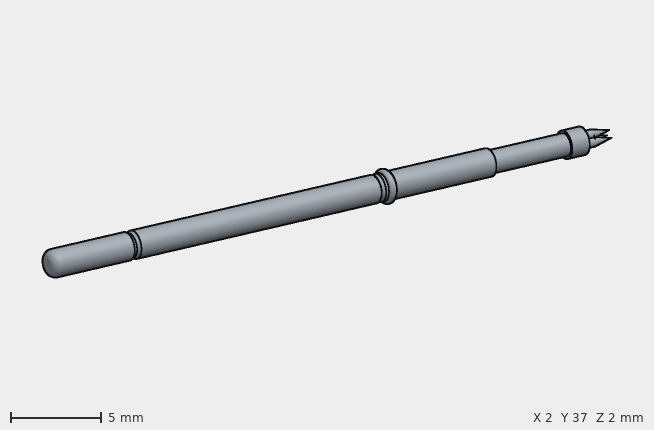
import cadquery as cq
import math

total_length = 37.0

barrel_radius = 0.8
barrel_front = 29.05
tail_flat_radius = 0.4
tail_round_length = 0.5
tail_bulge = 0.13

groove_depth = 0.1
rear_groove_center = 5.48
rear_groove_half_width = 0.22
stop_groove_rear = 21.5
stop_groove_bottom = 21.57
stop_groove_front = 21.8

bead_radius = 1.0
bead_rear = 21.98
bead_length = 0.5

plunger_radius = 0.65
head_radius = 0.8
head_rear = 34.05
head_front = 35.2

pin_count = 3
pin_radius = 0.278
pin_circle_radius = 0.25
pin_first_angle = 90.0
cone_length = 1.2
pin_embed = 0.37


def make_body():
    """Revolve the barrel, plunger and head from one half profile."""
    groove_radius = barrel_radius - groove_depth
    bead_front = bead_rear + bead_length

    tail_rise = barrel_radius - tail_flat_radius
    tail_chord = math.hypot(tail_rise, tail_round_length)
    tail_mid = (
        (tail_flat_radius + barrel_radius) / 2 + tail_bulge * tail_round_length / tail_chord,
        tail_round_length / 2 - tail_bulge * tail_rise / tail_chord,
    )

    profile = (
        cq.Workplane("ZY")
        .moveTo(0, 0)
        .lineTo(tail_flat_radius, 0)
        .threePointArc(tail_mid, (barrel_radius, tail_round_length))
        .lineTo(barrel_radius, rear_groove_center - rear_groove_half_width)
        .lineTo(groove_radius, rear_groove_center)
        .lineTo(barrel_radius, rear_groove_center + rear_groove_half_width)
        .lineTo(barrel_radius, stop_groove_rear)
        .lineTo(groove_radius, stop_groove_bottom)
        .lineTo(barrel_radius, stop_groove_front)
        .lineTo(barrel_radius, bead_rear)
        .threePointArc((bead_radius, bead_rear + bead_length / 2), (barrel_radius, bead_front))
        .lineTo(barrel_radius, barrel_front)
        .lineTo(plunger_radius, barrel_front)
        .lineTo(plunger_radius, head_rear)
        .lineTo(head_radius, head_rear)
        .lineTo(head_radius, head_front)
        .lineTo(0, head_front)
        .close()
    )
    return profile.revolve(360, (0, 0), (0, 1))


def make_pin(angle):
    """Make one round pin with a sharp cone, placed on the pin circle."""
    pin = (
        cq.Workplane("ZY")
        .moveTo(0, head_front - pin_embed)
        .lineTo(pin_radius, head_front - pin_embed)
        .lineTo(pin_radius, total_length - cone_length)
        .lineTo(0, total_length)
        .close()
        .revolve(360, (0, 0), (0, 1))
    )
    x = pin_circle_radius * math.cos(math.radians(angle))
    z = pin_circle_radius * math.sin(math.radians(angle))
    return pin.translate((x, 0, z))


result = make_body()
for index in range(pin_count):
    result = result.union(make_pin(pin_first_angle + index * 360.0 / pin_count))